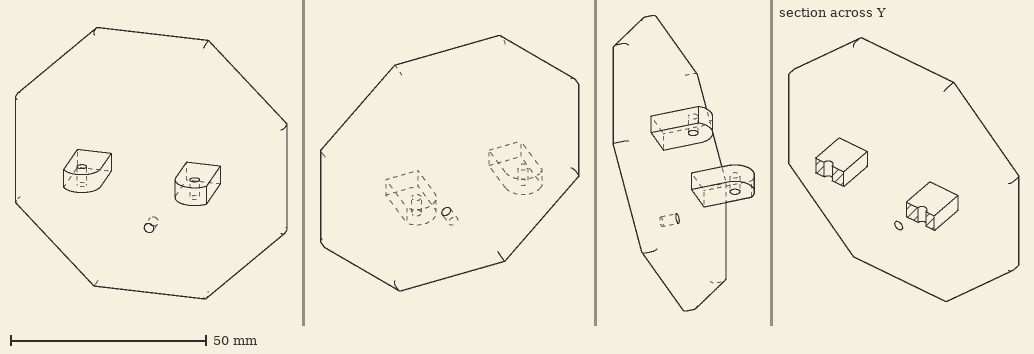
import cadquery as cq

plate_sides = 8
across_flats = 71.58
plate_thickness = 4.39
edge_radius = 1.2

lug_radius = 5.0
lug_reach = 15.0
lug_height = 5.0
lug_pin_spacing = 30.0
lug_outer_flat = 4.0
hole_diameter = 2.5

plate_hole_drop = 17.25


def make_plate():
    octagon = (
        cq.Workplane("XZ")
        .polygon(plate_sides, across_flats, circumscribed=True)
        .extrude(-plate_thickness)
    )
    return octagon.faces("<Y or >Y").edges().fillet(edge_radius)


def make_lug():
    """Right-hand lug: rounded tip, with its outer side cut flat."""
    pin_x = lug_pin_spacing / 2
    pin_y = lug_radius - lug_reach
    base = cq.Workplane("XY").workplane(offset=-lug_height / 2)
    tip = base.center(pin_x, pin_y).circle(lug_radius).extrude(lug_height)
    shank = base.center(pin_x, pin_y / 2).rect(2 * lug_radius, -pin_y).extrude(lug_height)
    outer_waste = (
        base.center(pin_x + lug_outer_flat + lug_radius / 2, -lug_reach / 2)
        .rect(lug_radius, lug_reach)
        .extrude(lug_height)
    )
    pin_hole = base.center(pin_x, pin_y).circle(hole_diameter / 2).extrude(lug_height)
    return tip.union(shank).cut(outer_waste).cut(pin_hole)


def make_plate_hole():
    return (
        cq.Workplane("XZ")
        .center(0, -plate_hole_drop)
        .circle(hole_diameter / 2)
        .extrude(-plate_thickness)
    )


right_lug = make_lug()
left_lug = right_lug.mirror("YZ")
result = make_plate().union(right_lug).union(left_lug).cut(make_plate_hole())